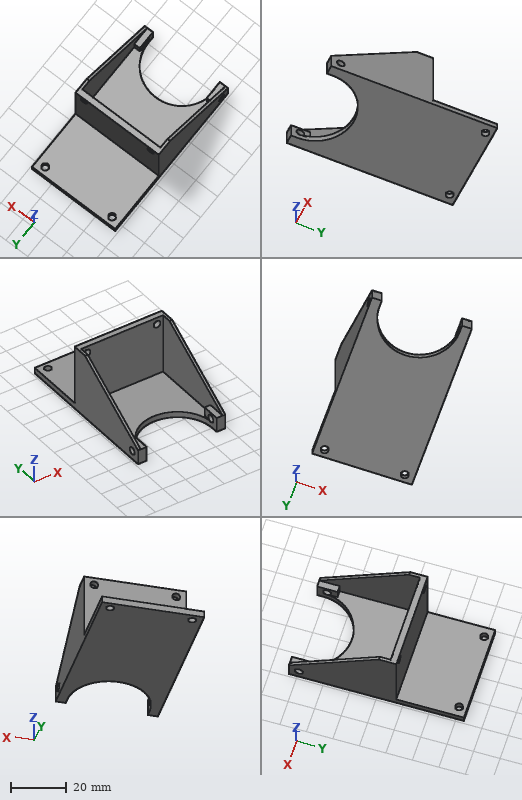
import cadquery as cq

width = 38.1
length = 66.05
height = 27.95

plate_thickness = 2.5
side_thickness = 1.2
rear_ledge = 25.5
flat_top = 6.6

lug_width = 3.75
lug_depth = 7.7
lug_height = 6.3
pivot_diameter = 3.05
pivot_inset = 3.75

cutout_radius = width / 2 - lug_width
cutout_center_y = 2.6
screw_diameter = 2.85
screw_edge = 3.0
screw_x = cutout_radius

wall_back_y = length - rear_ledge
wall_front_y = wall_back_y - plate_thickness


def box(x_size, y_size, z_size, x, y):
    """Box on the base plane, centred on x and starting at y."""
    return cq.Workplane("XY").box(x_size, y_size, z_size, centered=(True, False, False)).translate((x, y, 0))


def side_wall(x_start):
    """Sloped cheek between the upright wall and the front edge."""
    return (
        cq.Workplane("YZ", origin=(x_start, 0, 0))
        .moveTo(0, 0)
        .lineTo(wall_back_y, 0)
        .lineTo(wall_back_y, height)
        .lineTo(wall_back_y - flat_top, height)
        .lineTo(0, lug_height)
        .close()
        .extrude(side_thickness)
    )


base = box(width, length, plate_thickness, 0, 0)
opening = cq.Workplane("XY").center(0, cutout_center_y).circle(cutout_radius).extrude(plate_thickness)
opening = opening.union(box(2 * cutout_radius, cutout_center_y, plate_thickness, 0, 0))
base = base.cut(opening)

upright = box(width, plate_thickness, height, 0, wall_front_y)
body = base.union(upright)
for x_start in (-width / 2, width / 2 - side_thickness):
    body = body.union(side_wall(x_start))
for side in (-1, 1):
    lug_x = side * (width - lug_width) / 2
    body = body.union(box(lug_width, lug_depth, lug_height, lug_x, 0))

pivot = (
    cq.Workplane("YZ", origin=(-width / 2, 0, 0))
    .center(pivot_inset, pivot_inset)
    .circle(pivot_diameter / 2)
    .extrude(width)
)

ledge_screws = (
    cq.Workplane("XY")
    .pushPoints([(-screw_x, length - screw_edge), (screw_x, length - screw_edge)])
    .circle(screw_diameter / 2)
    .extrude(plate_thickness)
)
wall_screws = (
    cq.Workplane("XZ", origin=(0, wall_back_y, 0))
    .pushPoints([(-screw_x, height - screw_edge), (screw_x, height - screw_edge)])
    .circle(screw_diameter / 2)
    .extrude(plate_thickness)
)

result = body.cut(pivot).cut(ledge_screws).cut(wall_screws)